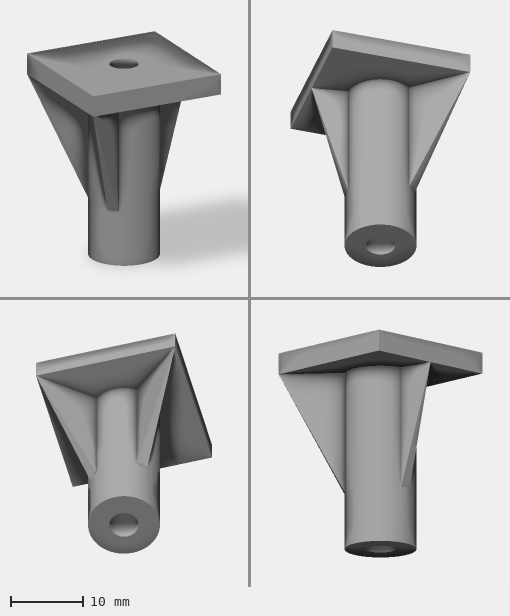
import cadquery as cq
import math

total_height = 28.0
plate_side = 20.0
plate_thickness = 3.0
post_diameter = 10.0
bore_diameter = 4.1

rib_foot_height = 8.05
rib_foot_width = 1.62

plate_bottom = total_height - plate_thickness
post_radius = post_diameter / 2
edge_reach = plate_side / 2
corner_reach = edge_reach * math.sqrt(2)


def make_rib(reach, angle):
    """Rib under the plate, pointing at the given angle about Z, with its tip at the given reach."""
    half_width = rib_foot_width / 2
    plan = (
        cq.Workplane("XY")
        .workplane(offset=rib_foot_height)
        .polyline([
            (0, -half_width),
            (post_radius, -half_width),
            (reach, 0),
            (post_radius, half_width),
            (0, half_width),
        ])
        .close()
        .extrude(plate_bottom - rib_foot_height)
    )
    slope = (
        cq.Workplane("XZ")
        .polyline([
            (0, rib_foot_height),
            (post_radius, rib_foot_height),
            (reach, plate_bottom),
            (0, plate_bottom),
        ])
        .close()
        .extrude(half_width, both=True)
    )
    return plan.intersect(slope).rotate((0, 0, 0), (0, 0, 1), angle)


post = cq.Workplane("XY").circle(post_radius).extrude(plate_bottom)
plate = (
    cq.Workplane("XY")
    .workplane(offset=plate_bottom)
    .rect(plate_side, plate_side)
    .extrude(plate_thickness)
)
body = post.union(plate)

for reach, angle in [(corner_reach, 225), (corner_reach, 315), (edge_reach, 90)]:
    body = body.union(make_rib(reach, angle))

bore = cq.Workplane("XY").circle(bore_diameter / 2).extrude(total_height)
result = body.cut(bore)